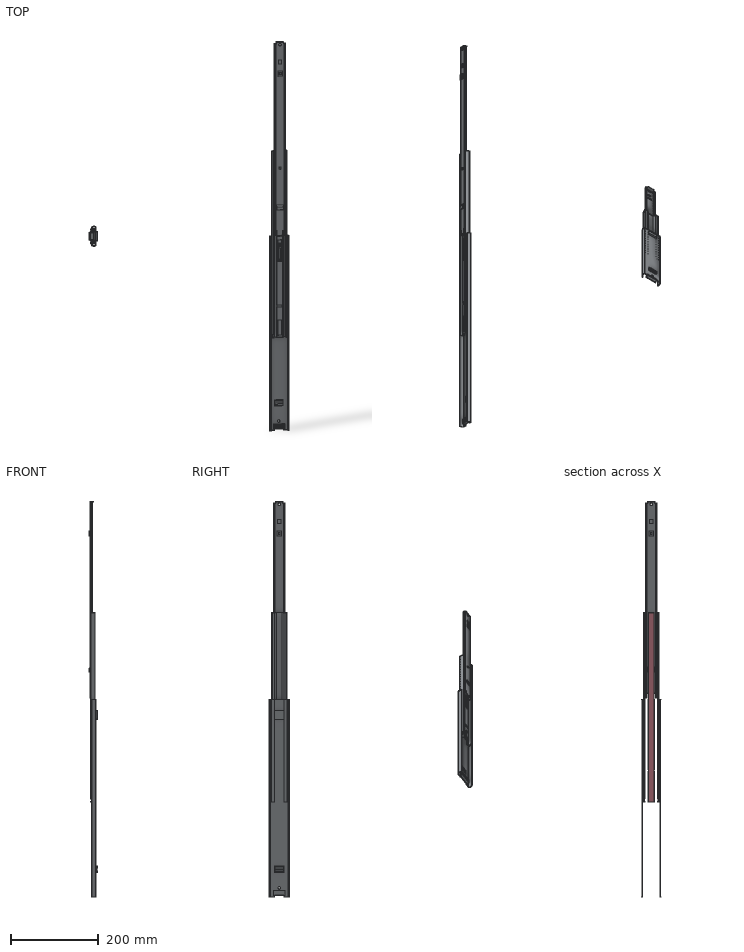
import cadquery as cq


sheet = 1.35
overall_x = 20.0
hook_reach = overall_x / 2
small_hole = 5.0

outer_length = 450.0
outer_half_width = 22.95
outer_front = -4.5
outer_back = 6.75
outer_opening = 20.25
outer_corner = 20.0
crown = 2.0
wall_mid = -2.0
wall_mid_half_width = 22.05
corner_mid = 5.0
corner_mid_half_width = 22.0
outer_top = 0.0
outer_bottom = outer_top - outer_length
outer_hole_z = -429.0
end_notch_half_width = 11.0
end_notch_depth = 4.0
boss_half_width = 10.35
boss_tops = (-25.0, -380.0)
boss_bottoms = (-46.0, -394.0)
boss_pocket_half_width = 10.0
boss_pocket_depth = 2.0
boss_pocket_top = -381.0
boss_pocket_floor_bottom = -388.0
boss_pocket_bottom = -393.0
boss_groove_height = 7.0
boss_groove_depth = 2.0

middle_top = 197.0
middle_bottom = -234.0
middle_half_width = 18.0
middle_lip_half_width = 16.65
middle_opening = 13.95
middle_front = -6.75
middle_bend = -1.0
middle_back = 4.5
middle_chamfer = 1.0
hat_half_width = 6.0
hat_foot = 11.0
hat_top = -2.0
lip_notch_depth = 3.0
lip_notch_top = -226.0
lip_notch_height = 7.0

inner_top = outer_top + outer_length
inner_bottom = 3.0
inner_half_width = 13.0
inner_face_half_width = 10.0
inner_front = -7.0
inner_bend = -4.5
inner_back = -1.35
end_tab_half_width = 8.0
end_tab_height = 4.0
end_tab_back = 1.0
web_foot_half_width = 6.75
web_foot_height = 11.0
inner_hole_heights = (444.0, 158.0)
upper_hook_half_width = 5.0
upper_hook_top = 383.0
upper_hook_height = 12.0
hook_socket = 4.5
hook_socket_depth = 2.0
lower_hook_half_width = 8.0
lower_hook_top = 73.0
lower_hook_height = 11.0
lower_hook_lip = 7.0
dent_z = 404.0
dent_width = 7.0
dent_height = 9.0
dent_depth = 1.0

bumper_half_width = 13.0
bumper_height = 11.0
bumper_front = -1.0
bumper_groove = 2.0
bumper_grooves = 2
plate_half_width = 7.0
plate_thickness = 1.35
plate_front = hat_top - plate_thickness
rib_half_width = 4.05
rib_front = -4.95
latch_top = 0.0
latch_bottom = -58.5
latch_rib_top = -8.0
latch_rib_bottom = -56.0
latch_slot_half_width = 2.0
latch_slot_top = -27.0
latch_slot_bottom = -53.0
latch_groove_heights = (-17.0, -22.5)
latch_groove = 3.0
strip_bottom = -159.0
stop_top = -164.0
stop_rib_top = -193.5
stop_rib_bottom = -229.0


def block(x0, x1, half_width, z0, z1):
    """Box from x0 to x1 and z0 to z1, centred on Y."""
    size = (x1 - x0, 2 * half_width, z1 - z0)
    return cq.Workplane("XY").box(*size, centered=(False, True, False)).translate((x0, 0, z0))


def prism(points, z0, z1):
    """Extrude half of an XY outline together with its mirror image in Y."""
    mirrored = [(x, -y) for x, y in reversed(points)]
    return cq.Workplane("XY").workplane(offset=z0).polyline(points + mirrored).close().extrude(z1 - z0)


def side_prism(points, half_width):
    """Extrude an XZ outline to both sides of the XZ plane."""
    return cq.Workplane("XZ").polyline(points).close().extrude(half_width, both=True)


def cross_hole(x0, x1, z):
    """Round fixing-hole cutter running along X."""
    return cq.Workplane("YZ").workplane(offset=x0).center(0, z).circle(small_hole / 2).extrude(x1 - x0)


def outer_profile():
    """Closed outline of the outer rail: bulging raceway walls and a rounded corner at the web."""
    return (
        cq.Workplane("XY").workplane(offset=outer_bottom)
        .moveTo(outer_front, outer_opening)
        .threePointArc((wall_mid, wall_mid_half_width), (crown, outer_half_width))
        .threePointArc((corner_mid, corner_mid_half_width), (outer_back, outer_corner))
        .lineTo(outer_back, -outer_corner)
        .threePointArc((corner_mid, -corner_mid_half_width), (crown, -outer_half_width))
        .threePointArc((wall_mid, -wall_mid_half_width), (outer_front, -outer_opening))
        .close()
    )


def make_outer_rail():
    rail = outer_profile().extrude(outer_length)
    rail = rail.cut(outer_profile().offset2D(-sheet).extrude(outer_length))
    web_front = outer_back - sheet
    rail = rail.cut(block(outer_front, outer_front + sheet, outer_opening, outer_bottom, outer_top))

    for top, bottom in zip(boss_tops, boss_bottoms):
        rail = rail.union(block(outer_back, hook_reach, boss_half_width, bottom, top))

    top, bottom = boss_tops[1], boss_bottoms[1]
    middle = (top + bottom) / 2
    pocket_back = web_front + boss_pocket_depth
    pocket = [
        (web_front, boss_pocket_top),
        (pocket_back, boss_pocket_top),
        (pocket_back, boss_pocket_floor_bottom),
        (web_front, boss_pocket_bottom),
    ]
    rail = rail.cut(side_prism(pocket, boss_pocket_half_width))
    rail = rail.cut(block(hook_reach - boss_groove_depth, hook_reach, boss_half_width,
                          middle - boss_groove_height / 2, middle + boss_groove_height / 2))

    rail = rail.cut(cross_hole(web_front, outer_back, outer_hole_z))
    return rail.cut(block(web_front, outer_back, end_notch_half_width,
                          outer_bottom, outer_bottom + end_notch_depth))


def make_middle_rail():
    outline = [
        (middle_front, middle_lip_half_width),
        (middle_bend, middle_half_width),
        (middle_back - middle_chamfer, middle_half_width),
        (middle_back, middle_half_width - middle_chamfer),
    ]
    floor = middle_back - sheet
    rail = prism(outline, middle_bottom, middle_top)
    rail = rail.cut(block(middle_front, floor, middle_opening, middle_bottom, middle_top))
    cavity = middle_lip_half_width - sheet
    rail = rail.cut(block(middle_front + sheet, floor, cavity, middle_bottom, middle_top))

    slope = (hat_foot - hat_half_width) / (floor - hat_top)
    hat = [(hat_top, hat_half_width), (middle_back, hat_half_width + slope * (middle_back - hat_top))]
    hollow = [(hat_top + sheet, hat_half_width), (middle_back, hat_foot)]
    rail = rail.union(prism(hat, middle_bottom, middle_top))
    rail = rail.cut(prism(hollow, middle_bottom, middle_top))

    return rail.cut(block(middle_front, middle_front + lip_notch_depth, middle_half_width,
                          lip_notch_top - lip_notch_height, lip_notch_top))


def make_inner_rail():
    shoulder = inner_top - end_tab_height
    web_back = inner_front + sheet
    outline = [
        (inner_front, inner_face_half_width),
        (inner_bend, inner_half_width),
        (inner_back, inner_half_width),
    ]
    rail = prism(outline, inner_bottom, shoulder)
    rail = rail.cut(block(web_back, inner_back, inner_face_half_width, inner_bottom, shoulder))
    rail = rail.union(block(inner_front, web_back, end_tab_half_width, shoulder, inner_top))
    rail = rail.union(block(inner_front, end_tab_back, end_tab_half_width, inner_top - sheet, inner_top))

    foot_top = inner_bottom + web_foot_height
    corners = block(inner_front, web_back, inner_face_half_width, inner_bottom, foot_top)
    corners = corners.cut(block(inner_front, web_back, web_foot_half_width, inner_bottom, foot_top))
    rail = rail.cut(corners)

    for z in inner_hole_heights:
        rail = rail.cut(cross_hole(inner_front, web_back, z))
    rail = rail.cut(block(inner_front, inner_front + dent_depth, dent_width / 2,
                          dent_z - dent_height / 2, dent_z + dent_height / 2))

    hook_bottom = upper_hook_top - upper_hook_height
    hook_middle = upper_hook_top - upper_hook_height / 2
    rail = rail.union(block(-hook_reach, inner_front, upper_hook_half_width, hook_bottom, upper_hook_top))
    rail = rail.cut(block(-hook_reach, -hook_reach + hook_socket_depth, hook_socket / 2,
                          hook_middle - hook_socket / 2, hook_middle + hook_socket / 2))

    ramp_bottom = lower_hook_top - lower_hook_height
    ramp = [
        (inner_front, lower_hook_top),
        (-hook_reach, ramp_bottom + lower_hook_lip),
        (-hook_reach, ramp_bottom),
        (inner_front, ramp_bottom),
    ]
    return rail.union(side_prism(ramp, lower_hook_half_width))


def make_bumper():
    """End bumper seated on the outer rail's web, with grooves across its front."""
    bottom = outer_bottom + end_notch_depth
    bumper = block(bumper_front, outer_back - sheet, bumper_half_width, bottom, bottom + bumper_height)
    pitch = bumper_height / (bumper_grooves + 1)
    for i in range(bumper_grooves):
        z = bottom + (i + 1) * pitch
        bumper = bumper.cut(block(bumper_front, bumper_front + bumper_groove, bumper_half_width,
                                  z - bumper_groove / 2, z + bumper_groove / 2))
    return bumper


def make_plate(bottom, top):
    """Flat plate lying on the raised web of the middle rail."""
    return block(plate_front, hat_top, plate_half_width, bottom, top)


def make_rib(bottom, top):
    """Rib standing on a plate."""
    return block(rib_front, plate_front, rib_half_width, bottom, top)


def make_latch():
    latch = make_plate(latch_bottom, latch_top).union(make_rib(latch_rib_bottom, latch_rib_top))
    latch = latch.cut(block(rib_front, plate_front, latch_slot_half_width, latch_slot_bottom, latch_slot_top))
    for z in latch_groove_heights:
        latch = latch.cut(block(rib_front, plate_front, rib_half_width, z - latch_groove / 2,
                                z + latch_groove / 2))
    return latch


def make_stop():
    return make_plate(middle_bottom, stop_top).union(make_rib(stop_rib_bottom, stop_rib_top))


outer_rail = make_outer_rail()
middle_rail = make_middle_rail()
inner_rail = make_inner_rail()
bumper = make_bumper()
latch = make_latch()
strip = make_plate(strip_bottom, latch_bottom)
stop = make_stop()

bodies = [outer_rail, middle_rail, inner_rail, bumper, latch, strip, stop]
result = cq.Compound.makeCompound([body.solids().val() for body in bodies])